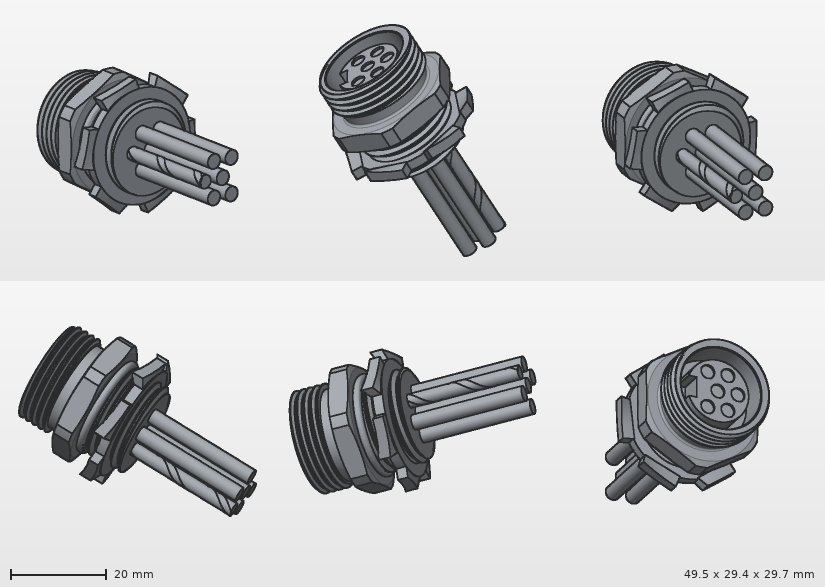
import cadquery as cq
import math


FRONT_THREAD_END = 6.5
HEX_FRONT = 9.4
HEX_BACK = 14.0
SEAL_BACK = 15.75
SHELL_BACK = 24.5
WIRE_END = 49.35
STRIPE_END = 49.5

NECK_RADIUS = 9.9
NECK_FILLET = 0.5
SEAL_RADIUS = 11.05

FRONT_PITCH = 1.56
FRONT_CREST_RADIUS = 11.15
FRONT_ROOT_RADIUS = 10.4
FRONT_CREST_AT_BOTTOM = 0.65
BACK_PITCH = 1.82
BACK_CREST_RADIUS = 10.35
BACK_ROOT_RADIUS = 9.25
BACK_CREST_AT_BOTTOM = 17.45
BACK_TAPER = 1 / 32
CREST_FLAT = 0.2
ROOT_FLAT = 0.3
RIDGE_SINK = 0.15
CORE_SEAM_ANGLE = 120

BORE_RADIUS = 9.15
BORE_CHAMFER = 0.2
BORE_DEPTH = 7.45
INSERT_RADIUS = 7.05
INSERT_FRONT = 1.6
KEYWAY_WIDTH = 4.6
KEYWAY_FLOOR = 4.85
CONTACT_HOLE_RADIUS = 1.55
CONTACT_HOLE_DEPTH = 0.5
CONTACT_CIRCLE_RADIUS = 4.6

HEX_ACROSS_FLATS = 25.5
HEX_CORNER_RADIUS = 14.0
HEX_FACE_RADIUS = 12.6
HEX_CHAMFER_DEPTH = 0.4

NUT_FRONT = 19.25
NUT_BACK = 21.55
NUT_RADIUS = 12.65
TAB_COUNT = 6
TAB_OFFSET_ANGLE = 6.7
TAB_LENGTH = 8.8
TAB_ROOT_APOTHEM = 11.65
TAB_TIP_APOTHEM = 14.3
TAB_ROOT_BEND = 0.1
TAB_TIP_FRONT_BEND = 1.6
TAB_TIP_BACK_BEND = 1.2
BEND_AT_MID_LENGTH = 0.3

WIRE_RADIUS = 1.65
STRIPED_WIRE_RADIUS = 1.5
STRIPE_RADIUS = 1.55
STRIPE_INNER_RADIUS = 1.3
STRIPE_PITCH = 12.65
STRIPE_ARC = 72.0
STRIPE_END_ANGLE = 24.0

PAIR_ANGLES = (60, 120, 240, 300)
STRIPED_WIRE_ANGLE = 180


def on_circle(radius, degrees):
    """Point (y, z) at an angle measured from +Y towards +Z."""
    angle = math.radians(degrees)
    return radius * math.cos(angle), radius * math.sin(angle)


def cylinder(radius, x_start, x_end, center=(0, 0)):
    return (
        cq.Workplane("YZ", origin=(x_start, 0, 0))
        .center(*center)
        .circle(radius)
        .extrude(x_end - x_start)
    )


def revolved(outline):
    """Turn an outline drawn as (x, radius) about the X axis."""
    return outline.close().revolve(360, (0, 0), (1, 0))


def threaded_rod(pitch, crest_radius, root_radius, crest_at_bottom, x_start, x_end, taper=0):
    """Rod with a right-handed V thread, its radius shrinking by `taper` per unit length.

    The crest radius and root radius hold at x_start; one crest crosses -Z at crest_at_bottom.
    """
    turns_before = math.ceil((crest_at_bottom - x_start) / pitch) + 1
    helix_start = crest_at_bottom - turns_before * pitch
    height = x_end - helix_start + pitch
    widening = taper * (x_start - helix_start)
    crest = crest_radius + widening
    root = root_radius + widening
    half_crest = CREST_FLAT / 2
    half_root = (pitch - ROOT_FLAT) / 2
    half_base = half_root + RIDGE_SINK * (half_root - half_crest) / (crest - root)

    if taper:
        taper_angle = -math.degrees(math.atan(taper))
        helix = cq.Wire.makeHelix(pitch, height, root, angle=taper_angle)
    else:
        helix = cq.Wire.makeHelix(pitch, height, root)
    ridge = (
        cq.Workplane("XZ")
        .moveTo(root - RIDGE_SINK, -half_base)
        .lineTo(crest, -half_crest)
        .lineTo(crest, half_crest)
        .lineTo(root - RIDGE_SINK, half_base)
        .close()
        .sweep(cq.Workplane(helix), isFrenet=True)
        .rotate((0, 0, 0), (0, 1, 0), 90)
        .translate((helix_start, 0, 0))
    )
    core = revolved(
        cq.Workplane("XY")
        .moveTo(x_start, 0)
        .lineTo(x_start, root_radius)
        .lineTo(x_end, root_radius - taper * (x_end - x_start))
        .lineTo(x_end, 0)
    ).rotate((0, 0, 0), (1, 0, 0), CORE_SEAM_ANGLE)
    return core.union(ridge.intersect(cylinder(2 * crest, x_start, x_end)))


def middle_shell():
    """Neck and the round seal behind the hexagonal flange."""
    seal_round = (SEAL_BACK - HEX_BACK) / 2
    seal_side = SEAL_RADIUS - seal_round
    return revolved(
        cq.Workplane("XY")
        .moveTo(FRONT_THREAD_END, 0)
        .lineTo(FRONT_THREAD_END, NECK_RADIUS)
        .lineTo(HEX_FRONT - NECK_FILLET, NECK_RADIUS)
        .radiusArc((HEX_FRONT, NECK_RADIUS + NECK_FILLET), -NECK_FILLET)
        .lineTo(HEX_BACK, NECK_RADIUS + NECK_FILLET)
        .lineTo(HEX_BACK, seal_side)
        .threePointArc((HEX_BACK + seal_round, SEAL_RADIUS), (SEAL_BACK, seal_side))
        .lineTo(SEAL_BACK, 0)
    )


def hex_flange():
    """Hexagon with flats on +Y and -Y, its corners turned round and chamfered."""
    across_corners = HEX_ACROSS_FLATS / math.cos(math.radians(30))
    prism = (
        cq.Workplane("YZ", origin=(HEX_FRONT, 0, 0))
        .polygon(6, across_corners)
        .extrude(HEX_BACK - HEX_FRONT)
        .rotate((0, 0, 0), (1, 0, 0), 30)
    )
    turned = revolved(
        cq.Workplane("XY")
        .moveTo(HEX_FRONT, 0)
        .lineTo(HEX_FRONT, HEX_FACE_RADIUS)
        .lineTo(HEX_FRONT + HEX_CHAMFER_DEPTH, HEX_CORNER_RADIUS)
        .lineTo(HEX_BACK - HEX_CHAMFER_DEPTH, HEX_CORNER_RADIUS)
        .lineTo(HEX_BACK, HEX_FACE_RADIUS)
        .lineTo(HEX_BACK, 0)
    )
    return prism.intersect(turned)


def tab_section(apothem, front_bend, back_bend):
    """Tab outline at one apothem: flat at its +Y end, bent forward towards its -Y end."""
    half = TAB_LENGTH / 2
    front_middle = NUT_FRONT - BEND_AT_MID_LENGTH * front_bend
    back_middle = NUT_BACK - BEND_AT_MID_LENGTH * back_bend
    section = (
        cq.Workplane("XY", origin=(0, 0, apothem))
        .moveTo(NUT_FRONT, half)
        .threePointArc((front_middle, 0), (NUT_FRONT - front_bend, -half))
        .lineTo(NUT_BACK - back_bend, -half)
        .threePointArc((back_middle, 0), (NUT_BACK, half))
        .close()
    )
    return section.val()


def lock_nut():
    nut = cylinder(NUT_RADIUS, NUT_FRONT, NUT_BACK)
    root = tab_section(TAB_ROOT_APOTHEM, TAB_ROOT_BEND, TAB_ROOT_BEND)
    tip = tab_section(TAB_TIP_APOTHEM, TAB_TIP_FRONT_BEND, TAB_TIP_BACK_BEND)
    tab = cq.Workplane(cq.Solid.makeLoft([root, tip], True))
    for index in range(TAB_COUNT):
        angle = 30 - TAB_OFFSET_ANGLE + index * 360 / TAB_COUNT
        nut = nut.union(tab.rotate((0, 0, 0), (1, 0, 0), angle))
    return nut


def socket():
    """Cavity of the mating face: a chamfered bore around a keyed contact insert."""
    bore = revolved(
        cq.Workplane("XY")
        .moveTo(0, 0)
        .lineTo(0, BORE_RADIUS + BORE_CHAMFER)
        .lineTo(BORE_CHAMFER, BORE_RADIUS)
        .lineTo(BORE_DEPTH, BORE_RADIUS)
        .lineTo(BORE_DEPTH, 0)
    )
    keyway = cq.Workplane("XY").box(
        BORE_DEPTH, INSERT_RADIUS, KEYWAY_WIDTH, centered=(False, False, True)
    )
    insert = cylinder(INSERT_RADIUS, INSERT_FRONT, BORE_DEPTH)
    insert = insert.cut(keyway.translate((0, KEYWAY_FLOOR, 0)))
    hole_centers = [(0, 0)]
    for angle in (*PAIR_ANGLES, STRIPED_WIRE_ANGLE):
        hole_centers.append(on_circle(CONTACT_CIRCLE_RADIUS, angle))
    hole_floor = INSERT_FRONT + CONTACT_HOLE_DEPTH
    for center in hole_centers:
        insert = insert.cut(cylinder(CONTACT_HOLE_RADIUS, INSERT_FRONT, hole_floor, center))
    return bore.cut(insert)


def wire(radius, center):
    """Wire rooted slightly inside the back of the shell."""
    return cylinder(radius, SHELL_BACK - WIRE_RADIUS, WIRE_END, center)


def stripe(center):
    """Helical colour stripe standing just proud of its wire."""
    length = STRIPE_END - SHELL_BACK
    twist = 360 * length / STRIPE_PITCH
    first = 180 + STRIPE_END_ANGLE - twist
    last = first - STRIPE_ARC
    middle = (first + last) / 2
    band = (
        cq.Workplane("YZ")
        .moveTo(*on_circle(STRIPE_INNER_RADIUS, first))
        .lineTo(*on_circle(STRIPE_RADIUS, first))
        .threePointArc(on_circle(STRIPE_RADIUS, middle), on_circle(STRIPE_RADIUS, last))
        .lineTo(*on_circle(STRIPE_INNER_RADIUS, last))
        .threePointArc(on_circle(STRIPE_INNER_RADIUS, middle), on_circle(STRIPE_INNER_RADIUS, first))
        .close()
        .twistExtrude(length, twist)
    )
    return band.translate((SHELL_BACK, *center))


front_thread = threaded_rod(
    FRONT_PITCH,
    FRONT_CREST_RADIUS,
    FRONT_ROOT_RADIUS,
    FRONT_CREST_AT_BOTTOM,
    0,
    FRONT_THREAD_END,
)
back_thread = threaded_rod(
    BACK_PITCH,
    BACK_CREST_RADIUS,
    BACK_ROOT_RADIUS,
    BACK_CREST_AT_BOTTOM,
    SEAL_BACK,
    SHELL_BACK,
    BACK_TAPER,
)

result = front_thread.union(middle_shell()).union(back_thread)
result = result.union(hex_flange()).union(lock_nut()).cut(socket())

result = result.union(wire(WIRE_RADIUS, (0, 0)))
for pair_angle in PAIR_ANGLES:
    result = result.union(wire(WIRE_RADIUS, on_circle(CONTACT_CIRCLE_RADIUS, pair_angle)))

striped_center = on_circle(CONTACT_CIRCLE_RADIUS, STRIPED_WIRE_ANGLE)
striped_wire = wire(STRIPED_WIRE_RADIUS, striped_center).union(stripe(striped_center))
result = result.union(striped_wire)